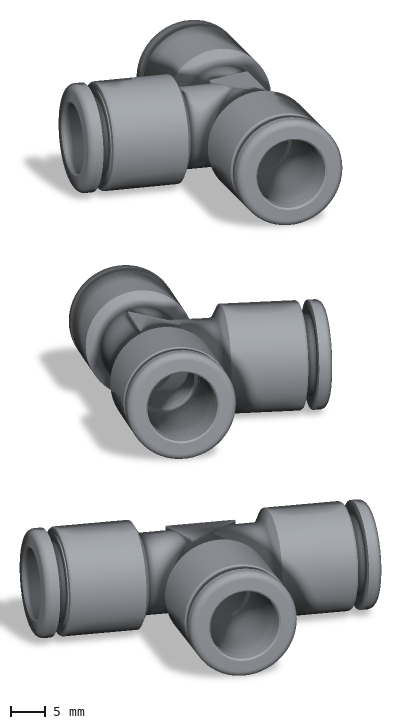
import cadquery as cq
import math

arm_length = 25.3
arm_angles = (0, 180, -90)

body_diameter = 16.0
core_diameter = 12.0
neck_diameter = 11.8
collar_diameter = body_diameter

body_start = 10.2
body_end = 21.7
collar_length = 2.17
collar_start = arm_length - collar_length

shoulder_angle = 60.0
shoulder_fillet = 1.0
body_chamfer = 0.25
body_chamfer_drop = 0.15
collar_face_rise = 0.1
collar_fillet = 1.0
crotch_fillet = 0.4

lip_diameter = 14.0
lip_height = 0.15

sleeve_bore = 10.3
seat_bore = 10.2
through_bore = 9.0
mouth_chamfer = 0.25
seat_depth = 16.0

pad_top = 6.1
pad_points = ((-4.7, 2.65), (6.3, 2.65), (-1.5, -3.85), (-2.35, -3.85))
pad_corner_radius = 0.25


def arm_outside():
    """Solid of revolution along +X: core, shoulder, body, neck and collar."""
    core_radius = core_diameter / 2
    body_radius = body_diameter / 2
    neck_radius = neck_diameter / 2
    collar_radius = collar_diameter / 2
    lip_radius = lip_diameter / 2
    mouth_radius = sleeve_bore / 2 + mouth_chamfer
    body_rim = body_end - lip_height
    collar_rim = arm_length - collar_face_rise

    slope = math.radians(shoulder_angle)
    cone_foot = body_start - (body_radius - core_radius) / math.tan(slope)
    tangent = shoulder_fillet * math.tan(slope / 2)
    fillet_start = (cone_foot - tangent, core_radius)
    fillet_middle = (
        cone_foot - tangent + shoulder_fillet * math.sin(slope / 2),
        core_radius + shoulder_fillet * (1 - math.cos(slope / 2)),
    )
    fillet_end = (
        cone_foot + tangent * math.cos(slope),
        core_radius + tangent * math.sin(slope),
    )
    collar_round_middle = (
        collar_rim - collar_fillet * (1 - math.sin(math.pi / 4)),
        collar_radius - collar_fillet * (1 - math.cos(math.pi / 4)),
    )

    profile = (
        cq.Workplane("XY")
        .moveTo(0, 0)
        .lineTo(0, core_radius)
        .lineTo(*fillet_start)
        .threePointArc(fillet_middle, fillet_end)
        .lineTo(body_start, body_radius)
        .lineTo(body_rim - body_chamfer, body_radius)
        .lineTo(body_rim, body_radius - body_chamfer_drop)
        .lineTo(body_rim, lip_radius)
        .lineTo(body_end, lip_radius)
        .lineTo(body_end, neck_radius)
        .lineTo(collar_start, neck_radius)
        .lineTo(collar_start, collar_radius)
        .lineTo(collar_rim - collar_fillet, collar_radius)
        .threePointArc(collar_round_middle, (collar_rim, collar_radius - collar_fillet))
        .lineTo(arm_length, mouth_radius)
        .lineTo(arm_length, 0)
        .close()
    )
    return profile.revolve(360, (0, 0, 0), (1, 0, 0))


def arm_bore():
    """Stepped bore along +X, from the centre of the T out to the mouth."""
    seat_start = arm_length - seat_depth
    through_radius = through_bore / 2
    seat_radius = seat_bore / 2
    sleeve_radius = sleeve_bore / 2
    profile = (
        cq.Workplane("XY")
        .moveTo(0, 0)
        .lineTo(0, through_radius)
        .lineTo(seat_start, through_radius)
        .lineTo(seat_start, seat_radius)
        .lineTo(body_start, seat_radius)
        .lineTo(body_start, sleeve_radius)
        .lineTo(arm_length - mouth_chamfer, sleeve_radius)
        .lineTo(arm_length, sleeve_radius + mouth_chamfer)
        .lineTo(arm_length, 0)
        .close()
    )
    return profile.revolve(360, (0, 0, 0), (1, 0, 0))


def on_every_arm(shape):
    """Union of copies of a +X shape turned to each arm direction."""
    union = None
    for angle in arm_angles:
        copy = shape.rotate((0, 0, 0), (0, 0, 1), angle)
        union = copy if union is None else union.union(copy)
    return union


def pad():
    """Triangular prism with rounded corners, rising from the centre plane."""
    return (
        cq.Workplane("XY")
        .polyline(pad_points)
        .close()
        .extrude(pad_top)
        .edges("|Z")
        .fillet(pad_corner_radius)
    )


outside = on_every_arm(arm_outside()).clean()
outside = outside.edges("%ELLIPSE").fillet(crotch_fillet)
result = outside.union(pad()).cut(on_every_arm(arm_bore()))